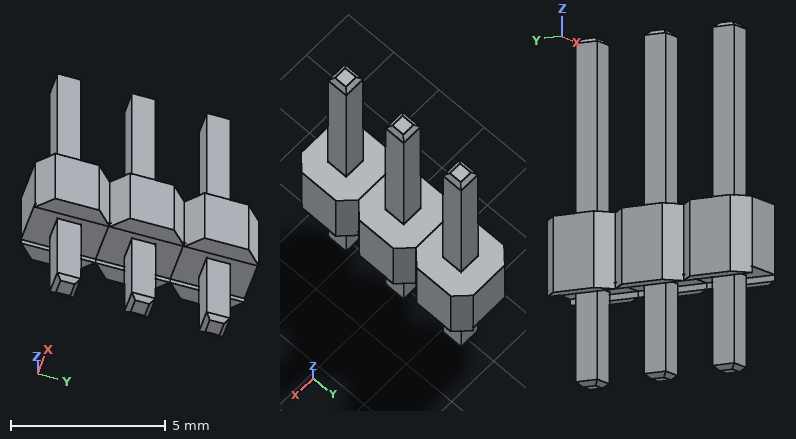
import cadquery as cq

position_count = 3
pitch = 2.54

housing_height = 2.54
corner_cut = 0.52
channel_width = pitch - 2 * corner_cut
channel_depth = 0.21

pin_length = 11.54
pin_width = 0.81
tip_chamfer = 0.16
pin_below_housing = 3.0

housing_bottom = pin_below_housing - pin_length / 2


def make_housing(y):
    """Octagonal block with a bottom channel along Y and a square pin hole."""
    block = (
        cq.Workplane("XY", origin=(0, y, housing_bottom))
        .rect(pitch, pitch)
        .extrude(housing_height)
        .edges("|Z")
        .chamfer(corner_cut)
    )
    channel = (
        cq.Workplane("XY", origin=(0, y, housing_bottom))
        .rect(channel_width, pitch)
        .extrude(channel_depth)
    )
    pin_hole = (
        cq.Workplane("XY", origin=(0, y, housing_bottom))
        .rect(pin_width, pin_width)
        .extrude(housing_height)
    )
    return block.cut(channel).cut(pin_hole)


def make_pin(y):
    """Straight square pin, chamfered all round at both ends."""
    return (
        cq.Workplane("XY", origin=(0, y, 0))
        .box(pin_width, pin_width, pin_length)
        .faces("<Z or >Z")
        .edges()
        .chamfer(tip_chamfer)
    )


first_y = -pitch * (position_count - 1) / 2
bodies = []
for index in range(position_count):
    position_y = first_y + index * pitch
    bodies.append(make_housing(position_y).val())
    bodies.append(make_pin(position_y).val())

result = cq.Compound.makeCompound(bodies)